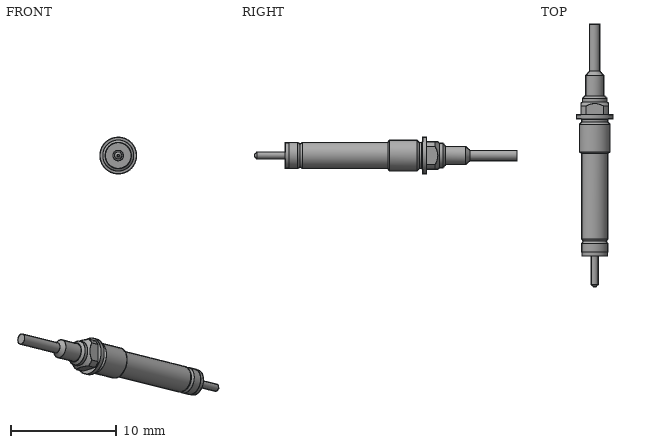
import cadquery as cq

LENGTH = 25.0
HALF_LENGTH = LENGTH / 2

LEAD_RADIUS = 0.5
SLEEVE_RADIUS = 0.88
SHOULDER_RADIUS = 1.18
NUT_CORNER_RADIUS = 1.58
NUT_ACROSS_FLATS = 2.65
FLANGE_RADIUS = 1.75
NECK_RADIUS = 1.25
COLLAR_RADIUS = 1.48
BARREL_RADIUS = 1.25
NOSE_RADIUS = 1.22
GROOVE_RADIUS = 1.1
PIN_RADIUS = 0.35
PIN_TIP_RADIUS = 0.1
BORE_RADIUS = 0.5

BARREL_FRONT = 2.92
NOSE_BACK = 3.3
GROOVE_CENTRE = 4.35
COLLAR_FRONT = 12.85
COLLAR_BACK = 15.48
FLANGE_FRONT = 16.0
FLANGE_BACK = 16.4
SHOULDER_FRONT = 17.6
SHOULDER_BACK = 18.18
SLEEVE_BACK = 20.52

COLLAR_FRONT_BEVEL = 0.15
FLANGE_FOOT_BEVEL = 0.08
SHOULDER_BEVEL = 0.25
SLEEVE_BEVEL = 0.42
GROOVE_HALF_WIDTH = 0.22
NUT_BEVEL = NUT_CORNER_RADIUS - SHOULDER_RADIUS
PIN_BEVEL = PIN_RADIUS - PIN_TIP_RADIUS
NECK_BEVEL = COLLAR_RADIUS - NECK_RADIUS

BORE_DEPTH = 0.25


def turned(profile):
    """Revolve (radius, station) points, closed along the axis, about Y."""
    axis_start = (0, profile[0][1])
    axis_end = (0, profile[-1][1])
    return (
        cq.Workplane("XY")
        .polyline([axis_start, *profile, axis_end])
        .close()
        .revolve(360, (0, 0, 0), (0, 1, 0))
    )


def contact_pin():
    """Pin with a blunt conical tip, rooted at the bottom of the barrel bore."""
    return turned([
        (PIN_TIP_RADIUS, 0),
        (PIN_RADIUS, PIN_BEVEL),
        (PIN_RADIUS, BARREL_FRONT + BORE_DEPTH),
    ])


def barrel():
    """Barrel with a slightly reduced nose, V groove, collar, relieved neck and flange."""
    body = turned([
        (NOSE_RADIUS, BARREL_FRONT),
        (NOSE_RADIUS, NOSE_BACK),
        (BARREL_RADIUS, NOSE_BACK),
        (BARREL_RADIUS, GROOVE_CENTRE - GROOVE_HALF_WIDTH),
        (GROOVE_RADIUS, GROOVE_CENTRE),
        (BARREL_RADIUS, GROOVE_CENTRE + GROOVE_HALF_WIDTH),
        (BARREL_RADIUS, COLLAR_FRONT - COLLAR_FRONT_BEVEL),
        (COLLAR_RADIUS, COLLAR_FRONT),
        (COLLAR_RADIUS, COLLAR_BACK),
        (NECK_RADIUS, COLLAR_BACK + NECK_BEVEL),
        (NECK_RADIUS, FLANGE_FRONT - FLANGE_FOOT_BEVEL),
        (NECK_RADIUS + FLANGE_FOOT_BEVEL, FLANGE_FRONT),
        (FLANGE_RADIUS, FLANGE_FRONT),
        (FLANGE_RADIUS, FLANGE_BACK),
    ])
    bore = turned([
        (BORE_RADIUS, BARREL_FRONT),
        (BORE_RADIUS, BARREL_FRONT + BORE_DEPTH),
    ])
    return body.cut(bore)


def square_nut():
    """Round, bevelled nut blank milled to four flats facing X and Z."""
    blank = turned([
        (NUT_CORNER_RADIUS, FLANGE_BACK),
        (NUT_CORNER_RADIUS, SHOULDER_FRONT - NUT_BEVEL),
        (SHOULDER_RADIUS, SHOULDER_FRONT),
    ])
    flats = cq.Workplane("XY").box(NUT_ACROSS_FLATS, 2 * LENGTH, NUT_ACROSS_FLATS)
    return blank.intersect(flats)


def lead_end():
    """Bevelled shoulder, crimp sleeve and lead."""
    return turned([
        (SHOULDER_RADIUS, SHOULDER_FRONT),
        (SHOULDER_RADIUS, SHOULDER_BACK - SHOULDER_BEVEL),
        (SHOULDER_RADIUS - SHOULDER_BEVEL, SHOULDER_BACK),
        (SLEEVE_RADIUS, SHOULDER_BACK),
        (SLEEVE_RADIUS, SLEEVE_BACK - SLEEVE_BEVEL),
        (LEAD_RADIUS, SLEEVE_BACK),
        (LEAD_RADIUS, LENGTH),
    ])


probe = barrel().union(contact_pin()).union(square_nut()).union(lead_end())
result = probe.translate((0, -HALF_LENGTH, 0))